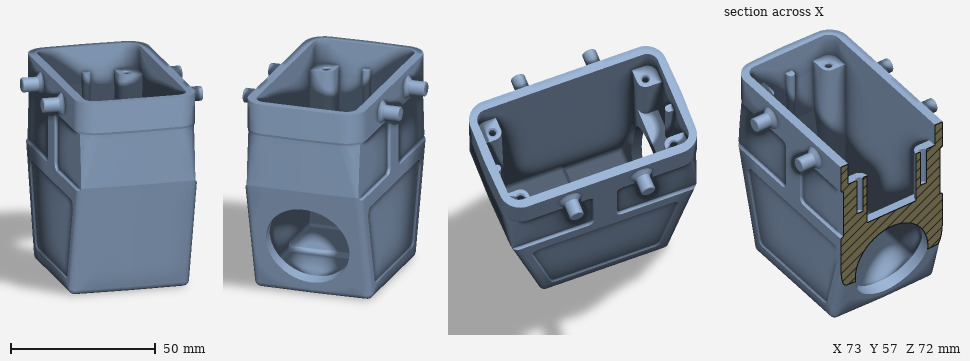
import cadquery as cq
import math

HEIGHT = 72.0
RIM_HALF_X = 36.5
HALF_Y = 21.55
DRAFT = math.tan(math.radians(1.0))

BAND_BOTTOM_Z = 61.3
LEDGE_Z = 60.5
LEDGE_HALF_X = 36.2
WAIST_Z = 41.2
WAIST_HALF_X = 34.8
BASE_HALF_X = 23.9
RIM_CORNER_R = 7.4
BODY_CORNER_R = 2.3
BASE_EDGE_R = 2.2
END_SLOPE = (WAIST_HALF_X - BASE_HALF_X) / WAIST_Z

CAVITY_HALF_X = 33.3
CAVITY_HALF_Y = 18.3
CAVITY_CORNER_R = 4.0
CAVITY_DRAFT_DEG = 0.65
SHOULDER_Z = 42.0
SHOULDER_HALF_X = 31.7
SHELF_EDGE_X = -25.2
LOW_FLOOR_Z = 5.3
HIGH_FLOOR_Z = 6.9
STEP_LOW_X = -0.2
STEP_HIGH_X = 1.2
LEFT_FLOOR_X = -21.0
FLOOR_EDGE_R = 1.4

ENTRY_DIAMETER = 30.4
ENTRY_Z = 19.35
ENTRY_REACH = 15.0
ENTRY_OVERSHOOT = 1.0

BOSS_TOP_Z = 63.0
BOSS_X = 28.3
BOSS_Y = 13.4
BOSS_R = 3.1
BOSS_SPAN = 12.0
BOSS_DRAFT_DEG = 1.5
SCREW_DIAMETER = 2.4
SCREW_MOUTH_DIAMETER = 3.4
SCREW_DEPTH = 15.0
RIB_TIP_X = 30.4
RIB_WIDTH = 2.7

PIN_X = 13.2
PIN_Z = 65.9
PIN_DIAMETER = 5.1
PIN_TIP_Y = 28.5
PIN_TIP_CHAMFER = 0.25
PIN_BASE_DIAMETER = 8.1
PIN_CONE_LENGTH = 1.4
PIN_ROOT_Y = 20.0

GRIP_DEPTH = 1.1
GRIP_INNER_X = 4.1
GRIP_TOP_Z = 60.9
GRIP_BOTTOM_Z = 40.0
GRIP_CORNER_R = 2.4
GRIP_REACH = 50.0
GRIP_WALL_DRAFT_DEG = 25.0
LABEL_DEPTH = 0.6
LABEL_TOP_Z = 35.0
LABEL_BOTTOM_Z = 4.9
LABEL_TOP_HALF_X = 28.0
LABEL_CORNER_R = 2.7
LABEL_WALL_DRAFT_DEG = 40.0

SIDES = (-1, 1)


def add_section(work, z, half_x, corner_r):
    """Rounded rectangle whose short ends are drafted from the middle plane."""
    end_x = half_x - HALF_Y * DRAFT
    straight_x = end_x - corner_r
    straight_y = HALF_Y - corner_r
    diagonal = corner_r * math.sqrt(0.5)
    arc_x = straight_x + diagonal
    arc_y = straight_y + diagonal
    return (
        work.workplane(offset=z - work.plane.origin.z)
        .moveTo(half_x, 0)
        .lineTo(end_x, straight_y)
        .threePointArc((arc_x, arc_y), (straight_x, HALF_Y))
        .lineTo(-straight_x, HALF_Y)
        .threePointArc((-arc_x, arc_y), (-end_x, straight_y))
        .lineTo(-half_x, 0)
        .lineTo(-end_x, -straight_y)
        .threePointArc((-arc_x, -arc_y), (-straight_x, -HALF_Y))
        .lineTo(straight_x, -HALF_Y)
        .threePointArc((arc_x, -arc_y), (end_x, -straight_y))
        .close()
    )


def outer_body():
    sections = (
        (0.0, BASE_HALF_X, BODY_CORNER_R),
        (WAIST_Z, WAIST_HALF_X, BODY_CORNER_R),
        (LEDGE_Z, LEDGE_HALF_X, RIM_CORNER_R),
        (BAND_BOTTOM_Z, RIM_HALF_X, RIM_CORNER_R),
        (HEIGHT, RIM_HALF_X, RIM_CORNER_R),
    )
    outline = cq.Workplane("XY")
    for section in sections:
        outline = add_section(outline, *section)
    body = outline.loft(ruled=True)
    return body.faces("<Z").edges().fillet(BASE_EDGE_R)


def boss(side_x, side_y):
    """Corner boss, rounded about its screw hole and running into the cavity corner."""
    floor_z = SHOULDER_Z if side_x < 0 else LOW_FLOOR_Z
    draft = 0 if side_x < 0 else -BOSS_DRAFT_DEG
    center_x = side_x * (BOSS_X - BOSS_R + BOSS_SPAN / 2)
    center_y = side_y * (BOSS_Y - BOSS_R + BOSS_SPAN / 2)
    outline = cq.Sketch().rect(BOSS_SPAN, BOSS_SPAN).vertices().fillet(BOSS_R)
    return (
        cq.Workplane("XY", origin=(center_x, center_y, BOSS_TOP_Z))
        .placeSketch(outline)
        .extrude(floor_z - BOSS_TOP_Z, taper=draft)
    )


def screw_hole(side_x, side_y):
    mouth_depth = (SCREW_MOUTH_DIAMETER - SCREW_DIAMETER) / 2
    top = (side_x * BOSS_X, side_y * BOSS_Y, BOSS_TOP_Z)
    drill = cq.Workplane("XY", origin=top).circle(SCREW_DIAMETER / 2).extrude(-SCREW_DEPTH)
    mouth = (
        cq.Workplane("XY", origin=top)
        .circle(SCREW_MOUTH_DIAMETER / 2)
        .workplane(offset=-mouth_depth)
        .circle(SCREW_DIAMETER / 2)
        .loft()
    )
    return drill.union(mouth)


def keying_rib(side_x):
    """Upright rib with a half-round nose at the middle of a short end."""
    nose_r = RIB_WIDTH / 2
    nose_x = RIB_TIP_X + nose_r
    root_length = RIM_HALF_X - nose_x
    root_x = (RIM_HALF_X + nose_x) / 2
    rib_height = BOSS_TOP_Z - LOW_FLOOR_Z
    nose = cq.Workplane("XY", origin=(side_x * nose_x, 0, LOW_FLOOR_Z)).circle(nose_r).extrude(rib_height)
    root = (
        cq.Workplane("XY", origin=(side_x * root_x, 0, LOW_FLOOR_Z))
        .rect(root_length, RIB_WIDTH)
        .extrude(rib_height)
    )
    return nose.union(root)


def cavity_profile():
    """Lengthwise section of the cavity, with a stepped floor and a thick wall around the cable entry."""
    right_floor_x = SHOULDER_HALF_X - END_SLOPE * (SHOULDER_Z - HIGH_FLOOR_Z)
    shelf_foot_z = LOW_FLOOR_Z + (LEFT_FLOOR_X - SHELF_EDGE_X) / END_SLOPE
    return (
        cq.Workplane("XZ")
        .polyline([
            (CAVITY_HALF_X, HEIGHT),
            (CAVITY_HALF_X, LEDGE_Z),
            (SHOULDER_HALF_X, SHOULDER_Z),
            (right_floor_x, HIGH_FLOOR_Z),
            (STEP_HIGH_X, HIGH_FLOOR_Z),
            (STEP_LOW_X, LOW_FLOOR_Z),
            (LEFT_FLOOR_X, LOW_FLOOR_Z),
            (SHELF_EDGE_X, shelf_foot_z),
            (SHELF_EDGE_X, SHOULDER_Z),
            (-SHOULDER_HALF_X, SHOULDER_Z),
            (-CAVITY_HALF_X, LEDGE_Z),
            (-CAVITY_HALF_X, HEIGHT),
        ])
        .close()
        .extrude(HALF_Y, both=True)
    )


def cavity_well():
    """Drafted rounded rectangle that bounds the cavity sideways."""
    opening = cq.Sketch().rect(2 * CAVITY_HALF_X, 2 * CAVITY_HALF_Y).vertices().fillet(CAVITY_CORNER_R)
    return (
        cq.Workplane("XY", origin=(0, 0, HEIGHT))
        .placeSketch(opening)
        .extrude(-HEIGHT, taper=CAVITY_DRAFT_DEG)
    )


def round_floor_edges(space):
    """Round both floors where they meet the long sides and the outer ends."""
    floor_zone = cq.selectors.BoxSelector(
        (-BASE_HALF_X, -HALF_Y, 0),
        (BASE_HALF_X, HALF_Y, (HIGH_FLOOR_Z + SHOULDER_Z) / 2),
    )
    for end in ("<X", ">X"):
        floor = space.faces("|Z").faces(floor_zone).faces(end)
        end_edge = floor.edges("|Y").edges(end)
        space = end_edge.add(floor.edges("not |Y")).fillet(FLOOR_EDGE_R)
    return space


def cavity():
    """Hollow inside of the hood, less the bosses and ribs that stand in it."""
    space = round_floor_edges(cavity_well().intersect(cavity_profile()))
    for side_x in SIDES:
        for side_y in SIDES:
            space = space.cut(boss(side_x, side_y))
            space = space.union(screw_hole(side_x, side_y))
        space = space.cut(keying_rib(side_x))
    return space


def cable_entry():
    center_x = -(BASE_HALF_X + END_SLOPE * ENTRY_Z)
    inward = cq.Vector(1, 0, END_SLOPE).normalized()
    start = cq.Vector(center_x, 0, ENTRY_Z) - inward * ENTRY_OVERSHOOT
    plane = cq.Plane(origin=start.toTuple(), xDir=(0, 1, 0), normal=inward.toTuple())
    return cq.Workplane(plane).circle(ENTRY_DIAMETER / 2).extrude(ENTRY_OVERSHOOT + ENTRY_REACH)


def locking_pin(x):
    """Pin pointing to -Y, with a conical foot on the side wall."""
    pin = (
        cq.Workplane("XZ", origin=(x, -PIN_ROOT_Y, PIN_Z))
        .circle(PIN_DIAMETER / 2)
        .extrude(PIN_TIP_Y - PIN_ROOT_Y)
        .faces("<Y")
        .chamfer(PIN_TIP_CHAMFER)
    )
    foot = (
        cq.Workplane("XZ", origin=(x, -HALF_Y, PIN_Z))
        .circle(PIN_BASE_DIAMETER / 2)
        .workplane(offset=PIN_CONE_LENGTH)
        .circle(PIN_DIAMETER / 2)
        .loft()
    )
    return pin.union(foot)


def grip_panel(side_x):
    """Shallow recess with sloping walls, open towards a short end."""
    center_x = side_x * (GRIP_INNER_X + GRIP_REACH / 2)
    center_z = (GRIP_TOP_Z + GRIP_BOTTOM_Z) / 2
    outline = cq.Sketch().rect(GRIP_REACH, GRIP_TOP_Z - GRIP_BOTTOM_Z).vertices().fillet(GRIP_CORNER_R)
    return (
        cq.Workplane("XZ", origin=(center_x, -HALF_Y, center_z))
        .placeSketch(outline)
        .extrude(-GRIP_DEPTH, taper=GRIP_WALL_DRAFT_DEG)
    )


def label_panel():
    """Shallow trapezoidal recess with sides parallel to the sloping ends."""
    bottom_half_x = LABEL_TOP_HALF_X - END_SLOPE * (LABEL_TOP_Z - LABEL_BOTTOM_Z)
    outline = (
        cq.Sketch()
        .polygon([
            (-LABEL_TOP_HALF_X, LABEL_TOP_Z),
            (LABEL_TOP_HALF_X, LABEL_TOP_Z),
            (bottom_half_x, LABEL_BOTTOM_Z),
            (-bottom_half_x, LABEL_BOTTOM_Z),
            (-LABEL_TOP_HALF_X, LABEL_TOP_Z),
        ])
        .vertices()
        .fillet(LABEL_CORNER_R)
    )
    return (
        cq.Workplane("XZ", origin=(0, -HALF_Y, 0))
        .placeSketch(outline)
        .extrude(-LABEL_DEPTH, taper=LABEL_WALL_DRAFT_DEG)
    )


def on_both_long_sides(feature):
    return feature.union(feature.mirror("XZ"))


hood = outer_body()
hood = hood.cut(on_both_long_sides(label_panel()))
for side in SIDES:
    hood = hood.cut(on_both_long_sides(grip_panel(side)))
    hood = hood.union(on_both_long_sides(locking_pin(side * PIN_X)))
result = hood.cut(cavity()).cut(cable_entry())